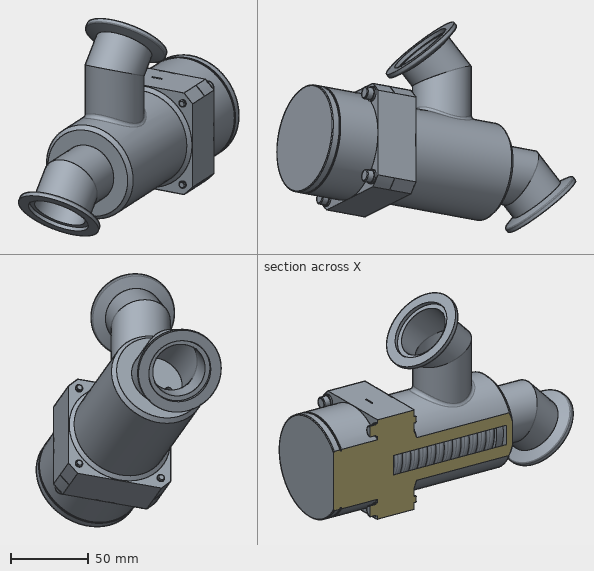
import cadquery as cq
import math


FLANGE_SIDE = 70.2
CORNER_CUT = 6.4
BACK_FLANGE_DEPTH = 12.7
FRONT_FLANGE_DEPTH = 16.1
NOTCH_WIDTH = 7.2
NOTCH_SIZE = 0.5

BODY_DIAMETER = 63.8
BODY_FRONT = 92.9
BODY_CHAMFER = 2.5
COLLAR_DIAMETER = 69.2
COLLAR_DEPTH = 2.0
CHAMBER_DIAMETER = 57.7
FRONT_WALL = 5.0

TUBE_DIAMETER = 38.2
BORE_DIAMETER = 34.8
BEND_ANGLE = 45.0
BRANCH_OFFSET = 56.9
BRANCH_HEIGHT = 59.0
FRONT_BEND = 116.0
PORT_REACH = 23.3
BRANCH_WELD = 2.5

RIM_DIAMETER = 55.0
RIM_THICKNESS = 3.0
RIM_ROUND = 0.8
TAPER_ANGLE = 15.0
RECESS_DIAMETER = 41.2
RECESS_DEPTH = 2.5

CAP_DIAMETER = 70.2
CAP_BACK = 47.0
CAP_CHAMFER = 0.5
GROOVE_BACK = 5.4
GROOVE_WIDTH = 0.8
GROOVE_DEPTH = 0.5

SCREW_SPACING = 56.0
HEAD_DIAMETER = 8.0
HEAD_LENGTH = 4.8
HEAD_CHAMFER = 0.5
WASHER_DIAMETER = 9.5
WASHER_THICKNESS = 1.2
SHANK_DIAMETER = 4.8
TIP_LENGTH = 1.8
TIP_CHAMFER = 0.5

BELLOWS_DIAMETER = 43.7
WAVE_RADIUS = 1.63
MIDDLE_CREST = 48.3
CRESTS_BEHIND = 7
CRESTS_AHEAD = 5
POPPET_DIAMETER = 49.7
DIMPLE_DIAMETER = 4.8
DIMPLE_X = 8.2
DIMPLE_Z = -5.2
DIMPLE_DEPTH = 4.0
DRILL_TIP_ANGLE = 118.0

POPPET_FACE = FRONT_WALL - BODY_FRONT
SCREW_POINTS = [(sx * SCREW_SPACING / 2, sz * SCREW_SPACING / 2) for sx in (-1, 1) for sz in (-1, 1)]

bend_sin = math.sin(math.radians(BEND_ANGLE))
bend_cos = math.cos(math.radians(BEND_ANGLE))
UPPER_PORT = ((-BRANCH_OFFSET, 0), (-BRANCH_OFFSET, BRANCH_HEIGHT), (bend_sin, bend_cos))
FRONT_PORT = ((POPPET_FACE, 0), (-FRONT_BEND, 0), (-bend_cos, -bend_sin))


def at_y(y):
    """Workplane across the main axis, facing -Y, with X to the right and Z up."""
    return cq.Workplane("XZ", origin=(0, y, 0))


def cylinder(diameter, y_back, y_front, points=((0, 0),)):
    """Cylinders along the main axis from y_back forward to y_front."""
    return at_y(y_back).pushPoints(points).circle(diameter / 2).extrude(y_back - y_front)


def port_path(start, bend, direction):
    """Centre line of a port in the YZ plane, and the centre of its end face."""
    end = (bend[0] + PORT_REACH * direction[0], bend[1] + PORT_REACH * direction[1])
    return cq.Workplane("YZ").polyline([start, bend, end]), end


def swept_tube(diameter, start, bend, direction):
    """Round bar with one mitred bend."""
    path, _ = port_path(start, bend, direction)
    normal = (0, bend[0] - start[0], bend[1] - start[1])
    plane = cq.Plane(origin=(0, *start), xDir=(1, 0, 0), normal=normal)
    return cq.Workplane(plane).circle(diameter / 2).sweep(path, transition="right")


def port_end(start, bend, direction):
    """Workplane on the end face of a port, with its normal pointing out of the port."""
    _, end = port_path(start, bend, direction)
    return cq.Workplane(cq.Plane(origin=(0, *end), xDir=(1, 0, 0), normal=(0, *direction)))


def clamp_flange(port):
    """Disc with a tapered back face and a rounded edge between rim and taper."""
    rim_radius = RIM_DIAMETER / 2
    tube_radius = TUBE_DIAMETER / 2
    taper_end = -RIM_THICKNESS - (rim_radius - tube_radius) * math.tan(math.radians(TAPER_ANGLE))
    outline = [
        (0, 0),
        (rim_radius, 0),
        (rim_radius, -RIM_THICKNESS),
        (tube_radius, taper_end),
        (0, taper_end),
    ]
    disc = cq.Workplane("XZ").polyline(outline).close().revolve(360, (0, 0, 0), (0, 1, 0))
    back_edge = cq.selectors.NearestToPointSelector((0, 0, -RIM_THICKNESS))
    disc = disc.edges(back_edge).fillet(RIM_ROUND)
    return cq.Workplane(disc.val().moved(port_end(*port).plane.location))


def make_mounting_flange():
    """Square block with flat corner cuts on its front part and round corners on its back part."""
    front = (
        at_y(0)
        .rect(FLANGE_SIDE, FLANGE_SIDE)
        .extrude(FRONT_FLANGE_DEPTH)
        .edges("|Y")
        .chamfer(CORNER_CUT)
    )
    corner_radius = math.hypot(FLANGE_SIDE / 2, FLANGE_SIDE / 2 - CORNER_CUT)
    back = at_y(BACK_FLANGE_DEPTH).rect(FLANGE_SIDE, FLANGE_SIDE).extrude(BACK_FLANGE_DEPTH)
    back = back.intersect(cylinder(2 * corner_radius, BACK_FLANGE_DEPTH, 0))
    return front.union(back)


def make_notch():
    """Small slot across the top of the mounting flange."""
    slot = cq.Workplane("XY").box(NOTCH_WIDTH, NOTCH_SIZE, 2 * NOTCH_SIZE)
    return slot.translate((0, 0, FLANGE_SIDE / 2))


def make_barrel_and_branch():
    """Barrel with the upper branch, which meets it in a rounded weld."""
    barrel = cylinder(BODY_DIAMETER, 0, -BODY_FRONT).faces("<Y").chamfer(BODY_CHAMFER)
    body = barrel.union(swept_tube(TUBE_DIAMETER, *UPPER_PORT))
    weld_zone = cq.selectors.BoxSelector(
        (-TUBE_DIAMETER, -BRANCH_OFFSET - TUBE_DIAMETER, BODY_DIAMETER / 4),
        (TUBE_DIAMETER, -BRANCH_OFFSET + TUBE_DIAMETER, BODY_DIAMETER / 2 + BRANCH_WELD),
    )
    return body.edges(weld_zone).edges("not(%LINE or %CIRCLE)").fillet(BRANCH_WELD)


def make_collar():
    """Conical step between the mounting flange and the barrel."""
    return (
        at_y(-FRONT_FLANGE_DEPTH)
        .circle(COLLAR_DIAMETER / 2)
        .workplane(offset=COLLAR_DEPTH)
        .circle(BODY_DIAMETER / 2)
        .loft(ruled=True)
    )


def make_cap():
    """Actuator cap with a chamfered back and a fine groove near its rim."""
    cap = cylinder(CAP_DIAMETER, CAP_BACK, 0).faces(">Y").chamfer(CAP_CHAMFER)
    groove_back = CAP_BACK - GROOVE_BACK
    groove_front = groove_back - GROOVE_WIDTH
    groove = cylinder(CAP_DIAMETER, groove_back, groove_front)
    groove = groove.cut(cylinder(CAP_DIAMETER - 2 * GROOVE_DEPTH, groove_back, groove_front))
    return cap.cut(groove)


def make_screws():
    """Heads, washers and tips of the four screws in the mounting flange."""
    washer_back = BACK_FLANGE_DEPTH + WASHER_THICKNESS
    head_back = washer_back + HEAD_LENGTH
    tip = -FRONT_FLANGE_DEPTH - TIP_LENGTH
    heads = cylinder(HEAD_DIAMETER, head_back, washer_back, SCREW_POINTS).faces(">Y").chamfer(HEAD_CHAMFER)
    washers = cylinder(WASHER_DIAMETER, washer_back, BACK_FLANGE_DEPTH, SCREW_POINTS)
    shanks = cylinder(SHANK_DIAMETER, BACK_FLANGE_DEPTH, tip, SCREW_POINTS).faces("<Y").chamfer(TIP_CHAMFER)
    return heads.union(washers).union(shanks)


def make_housing():
    """Outer shapes first, then the chamber and the bores of both ports."""
    housing = make_mounting_flange().cut(make_notch())
    housing = housing.union(make_barrel_and_branch()).union(make_collar())
    housing = housing.union(make_cap()).union(make_screws())
    housing = housing.union(swept_tube(TUBE_DIAMETER, *FRONT_PORT))
    for port in (UPPER_PORT, FRONT_PORT):
        housing = housing.union(clamp_flange(port))

    housing = housing.cut(cylinder(CHAMBER_DIAMETER, 0, POPPET_FACE))
    for port in (UPPER_PORT, FRONT_PORT):
        housing = housing.cut(swept_tube(BORE_DIAMETER, *port))
        housing = housing.cut(port_end(*port).circle(RECESS_DIAMETER / 2).extrude(-RECESS_DEPTH))
    return housing


def make_bellows():
    """Solid of revolution with half-round crests and valleys, and the Y of its front end."""
    mean_radius = BELLOWS_DIAMETER / 2
    pitch = 4 * WAVE_RADIUS
    y = -MIDDLE_CREST + CRESTS_BEHIND * pitch + WAVE_RADIUS
    outline = cq.Workplane("XY").moveTo(0, 0).lineTo(mean_radius, 0).lineTo(mean_radius, y)
    half_waves = 2 * (CRESTS_BEHIND + CRESTS_AHEAD) + 1
    for index in range(half_waves):
        height = WAVE_RADIUS if index % 2 == 0 else -WAVE_RADIUS
        middle = (mean_radius + height, y - WAVE_RADIUS)
        y -= 2 * WAVE_RADIUS
        outline = outline.threePointArc(middle, (mean_radius, y))
    outline = outline.lineTo(0, y).close()
    return outline.revolve(360, (0, 0, 0), (0, 1, 0)), y


def make_dimple():
    """Drilled hole with a conical bottom, sunk into the poppet face."""
    radius = DIMPLE_DIAMETER / 2
    tip_length = radius / math.tan(math.radians(DRILL_TIP_ANGLE / 2))
    outline = [(0, 0), (radius, 0), (radius, DIMPLE_DEPTH - tip_length), (0, DIMPLE_DEPTH)]
    drill = cq.Workplane("XY").polyline(outline).close().revolve(360, (0, 0, 0), (0, 1, 0))
    return drill.translate((DIMPLE_X, POPPET_FACE, DIMPLE_Z))


def make_plunger():
    """Bellows that stands on the back of the chamber and carries the poppet on the front wall."""
    bellows, bellows_front = make_bellows()
    poppet = cylinder(POPPET_DIAMETER, bellows_front, POPPET_FACE)
    return bellows.union(poppet).cut(make_dimple())


housing = make_housing()
plunger = make_plunger()

result = cq.Compound.makeCompound([housing.val(), plunger.val()])